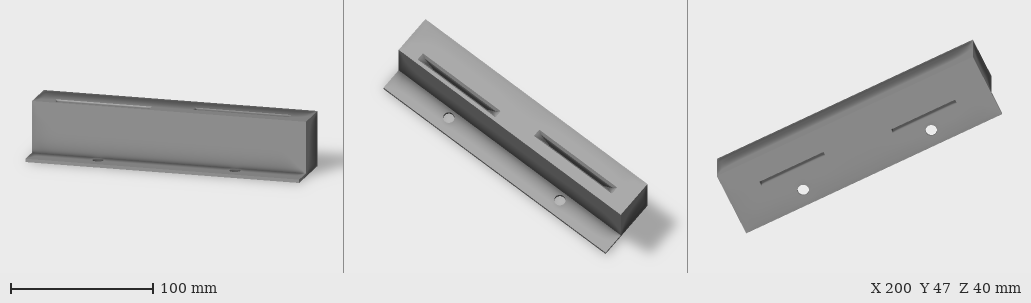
import cadquery as cq

length = 200.0
depth = 47.0
height = 40.0
body_depth = 30.0
flange_depth = depth - body_depth
flange_thickness = 2.5

hole_diameter = 8.0
hole_y = 11.0

slot_centers = [(length / 4, 22.5), (3 * length / 4, 28.5)]
mouth_length = 70.0
mouth_width = 6.0
mouth_depth = 2.5
throat_width = 3.0
outlet_length = 50.0
end_slope_depth = (mouth_length - outlet_length) / 2


def tapered_profile(plane, top_width, bottom_width, taper_depth):
    """Symmetric slot section, tapering below the top face and then straight to the base."""
    taper_end = height - taper_depth
    half_top = top_width / 2
    half_bottom = bottom_width / 2
    return cq.Workplane(plane).polyline([
        (-half_top, height),
        (half_top, height),
        (half_bottom, taper_end),
        (half_bottom, 0),
        (-half_bottom, 0),
        (-half_bottom, taper_end),
    ]).close()


def slot_cutter(center):
    """Through slot: the overlap of its lengthwise and crosswise sections."""
    lengthwise = tapered_profile("XZ", mouth_length, outlet_length, end_slope_depth)
    crosswise = tapered_profile("YZ", mouth_width, throat_width, mouth_depth)
    side_profile = lengthwise.extrude(mouth_width, both=True)
    end_profile = crosswise.extrude(mouth_length, both=True)
    return side_profile.intersect(end_profile).translate((*center, 0))


body = cq.Workplane("XY").box(length, body_depth, height, centered=False).translate((0, flange_depth, 0))
flange = cq.Workplane("XY").box(length, depth, flange_thickness, centered=False)
result = body.union(flange)

for center_x, center_y in slot_centers:
    hole = cq.Workplane("XY").center(center_x, hole_y).circle(hole_diameter / 2).extrude(flange_thickness)
    result = result.cut(hole)
    result = result.cut(slot_cutter((center_x, center_y)))